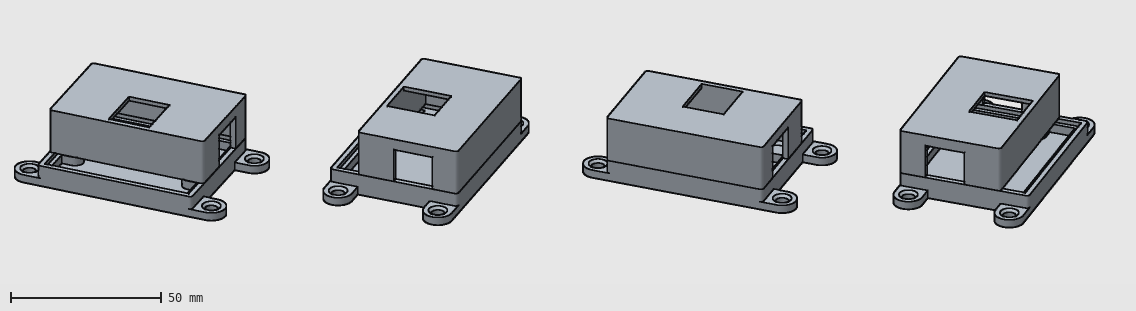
import cadquery as cq

length = 76.0
depth = 46.0
height = 23.6

tray_length = 56.0
tray_height = 7.7
corner_radius = 1.0
rim = 1.9
floor_thickness = 3.0
ledge_width = 1.6
ledge_depth = 1.5

ear_thickness = 3.0
ear_radius = 5.0
ear_hole_diameter = 4.3
countersink_diameter = 6.3
countersink_depth = 1.0

boss_diameter = 6.0
boss_reach = 3.5
boss_y = 15.4

cover_depth = 35.95
wall = 2.0
roof_thickness = 1.5
side_window_width = 14.0
side_window_height = 12.0
side_window_setback = 9.05
roof_window_length = 14.7
roof_window_width = 17.1

cover_front = depth - cover_depth
ear_hole_x = length / 2 - ear_radius
ledge_height = tray_height - ledge_depth
pit_length = tray_length - 2 * (rim + ledge_width)


def block(size_x, y_start, y_end, z_start, z_end):
    """Box centred in X between the given Y and Z limits."""
    box = cq.Workplane("XY").box(size_x, y_end - y_start, z_end - z_start, centered=(True, False, False))
    return box.translate((0, y_start, z_start))


def add_ears(body):
    """Two bars with round ends, one along the front and one along the back."""
    for y in (ear_radius, depth - ear_radius):
        bar = cq.Workplane("XY").center(0, y).slot2D(length, 2 * ear_radius).extrude(ear_thickness)
        body = body.union(bar)
    return body


def make_ear_hole(x, y):
    """Through hole with a conical countersink at the top face of an ear."""
    hole = cq.Workplane("XY").center(x, y).circle(ear_hole_diameter / 2).extrude(ear_thickness)
    cone = cq.Solid.makeCone(
        ear_hole_diameter / 2,
        countersink_diameter / 2,
        countersink_depth,
        pnt=cq.Vector(x, y, ear_thickness - countersink_depth),
    )
    return hole.union(cq.Workplane("XY").add(cone))


def cut_ear_holes(body):
    for x in (-ear_hole_x, ear_hole_x):
        for y in (ear_radius, depth - ear_radius):
            body = body.cut(make_ear_hole(x, y))
    return body


def make_boss(side):
    """Bar from a side ledge with a round nose; side is -1 or 1 for its place in X."""
    nose_x = pit_length / 2 - boss_reach
    boss_height = ledge_height - floor_thickness
    nose = cq.Workplane("XY").center(side * nose_x, boss_y).circle(boss_diameter / 2).extrude(boss_height)
    bar = (
        cq.Workplane("XY")
        .center(side * (nose_x + boss_reach / 2), boss_y)
        .rect(boss_reach, boss_diameter)
        .extrude(boss_height)
    )
    return nose.union(bar).translate((0, 0, floor_thickness))


def make_base():
    body = block(tray_length, 0, depth, 0, tray_height).edges("|Z").fillet(corner_radius)
    body = cut_ear_holes(add_ears(body))
    recess = block(tray_length - 2 * rim, rim, depth - rim, ledge_height, tray_height)
    pit_front = rim + ledge_width
    pit = block(pit_length, pit_front, depth - pit_front, floor_thickness, ledge_height)
    body = body.cut(recess).cut(pit)
    for side in (-1, 1):
        body = body.union(make_boss(side))
    return body


def make_cover():
    body = block(tray_length, cover_front, depth, tray_height, height).edges("|Z").fillet(corner_radius)
    cavity_front = cover_front + wall
    ceiling = height - roof_thickness
    cavity = block(tray_length - 2 * wall, cavity_front, depth - wall, tray_height, ceiling)
    window_back = depth - side_window_setback
    window_front = window_back - side_window_width
    side_windows = block(tray_length, window_front, window_back, tray_height, tray_height + side_window_height)
    roof_window = block(roof_window_length, cavity_front, cavity_front + roof_window_width, ceiling, height)
    return body.cut(cavity).cut(side_windows).cut(roof_window)


base = make_base()
cover = make_cover()

result = cq.Compound.makeCompound([base.val(), cover.val()])